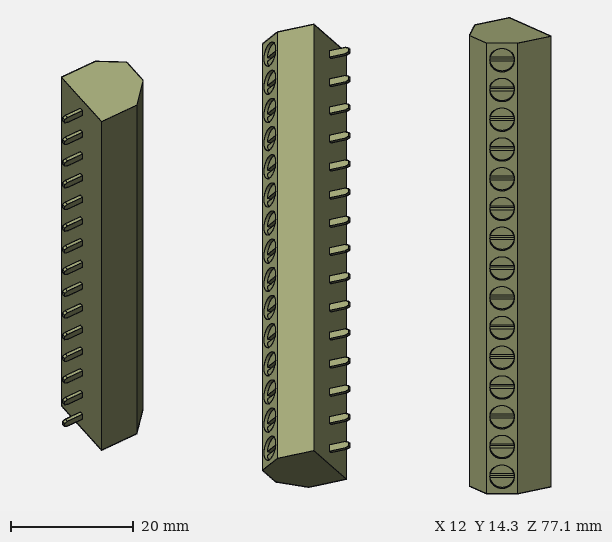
import cadquery as cq

body_width = 12.0
body_depth = 10.8
body_length = 77.1
screw_slope_width = 2.9
screw_slope_depth = 4.2
plain_slope_width = 4.2
plain_slope_depth = 3.9

pole_count = 15
pole_pitch = 5.1
first_pole_z = (body_length - (pole_count - 1) * pole_pitch) / 2

pin_width = 0.6
pin_height = 1.15
pin_length = 3.5
pin_taper_length = 0.55
pin_taper_height = 0.2

recess_diameter = 4.0
recess_depth = 0.6
screw_slot_width = 0.7
screw_slot_depth = 1.2


def make_body():
    half_width = body_width / 2
    outline = [
        (-half_width, 0),
        (half_width, 0),
        (half_width, body_depth - plain_slope_depth),
        (half_width - plain_slope_width, body_depth),
        (screw_slope_width - half_width, body_depth),
        (-half_width, body_depth - screw_slope_depth),
    ]
    return cq.Workplane("XY").polyline(outline).close().extrude(body_length)


def make_pin(z):
    half_height = pin_height / 2
    tip_half_height = half_height - pin_taper_height
    taper_start_y = pin_taper_length - pin_length
    outline = [
        (0, z - half_height),
        (0, z + half_height),
        (taper_start_y, z + half_height),
        (-pin_length, z + tip_half_height),
        (-pin_length, z - tip_half_height),
        (taper_start_y, z - half_height),
    ]
    return cq.Workplane("YZ").polyline(outline).close().extrude(pin_width / 2, both=True)


def make_screw_cut(z):
    slope_plane = cq.Plane(
        origin=((screw_slope_width - body_width) / 2, body_depth - screw_slope_depth / 2, z),
        xDir=(screw_slope_width, screw_slope_depth, 0),
        normal=(-screw_slope_depth, screw_slope_width, 0),
    )
    slot_bottom = recess_depth + screw_slot_depth
    recess = cq.Workplane(slope_plane).circle(recess_diameter / 2).extrude(-recess_depth)
    slot = (
        cq.Workplane(slope_plane)
        .circle(recess_diameter / 2)
        .extrude(-slot_bottom)
        .intersect(cq.Workplane(slope_plane).rect(recess_diameter, screw_slot_width).extrude(-slot_bottom))
    )
    return recess.union(slot)


result = make_body()
for pole in range(pole_count):
    pole_z = first_pole_z + pole * pole_pitch
    result = result.union(make_pin(pole_z))
    result = result.cut(make_screw_cut(pole_z))